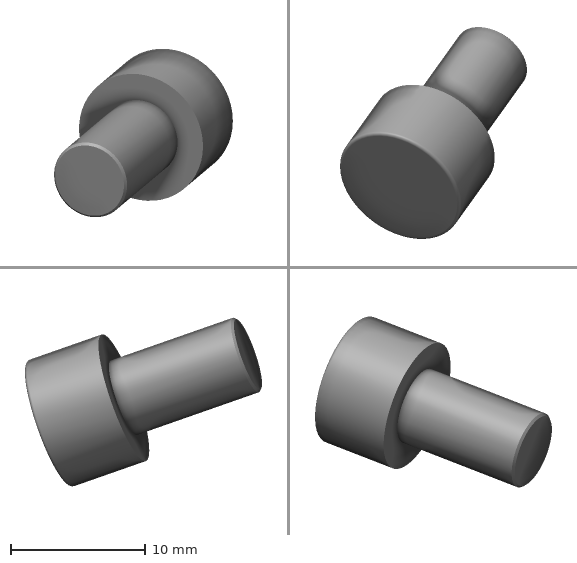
import cadquery as cq

overall_length = 16.0
head_diameter = 10.0
head_length = 6.0
shank_diameter = 5.89
shank_length = overall_length - head_length
head_round = 0.24
tip_chamfer = 0.18


def make_head():
    """Cylinder from the bearing face at Y = 0, rounded at its outer end."""
    head = cq.Workplane("XZ").circle(head_diameter / 2).extrude(-head_length)
    return head.faces(">Y").edges().fillet(head_round)


def make_shank():
    """Cylinder from the bearing face towards -Y, chamfered at its tip."""
    shank = cq.Workplane("XZ").circle(shank_diameter / 2).extrude(shank_length)
    return shank.faces("<Y").edges().chamfer(tip_chamfer)


result = make_head().union(make_shank())